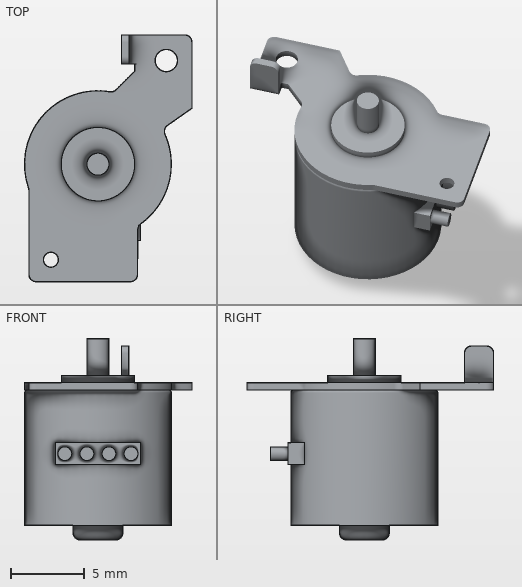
import cadquery as cq
import math

BODY_RADIUS = 5.0
BODY_HEIGHT = 9.2
BODY_TOP_FILLET = 0.2

CAP_RADIUS = 1.7
CAP_LENGTH = 1.0
CAP_FILLET = 0.5

BOSS_RADIUS = 2.5
BOSS_HEIGHT = 0.5
SHAFT_RADIUS = 0.75
SHAFT_LENGTH = 2.5

PLATE_THICKNESS = 0.5
CORNER_RADIUS = 0.5
FOOT_LEFT = -4.7
FOOT_RIGHT = 2.7
FOOT_END = -8.0
FOOT_HOLE_RADIUS = 0.5
FOOT_HOLE_INSET = 1.5
EAR_LEFT = 2.5
EAR_RIGHT = 6.4
EAR_END = 8.8
EAR_LEFT_BOTTOM = 6.33
EAR_RIGHT_BOTTOM = 3.8
EAR_LEFT_SLOPE = math.radians(45)
EAR_RIGHT_SLOPE = math.radians(35)
EAR_HOLE_RADIUS = 0.75
EAR_HOLE_INSET = 1.75

TAB_OUTER_X = 1.6
TAB_WIDTH = 2.0
TAB_HEIGHT = 3.0
BEND_INNER_RADIUS = 0.5
BEND_OUTER_RADIUS = 0.5

CONNECTOR_LENGTH = 5.8
CONNECTOR_HEIGHT = 1.5
CONNECTOR_FACE_Y = -5.2
CONNECTOR_CENTRE_Z = 4.87
CONNECTOR_BACK_Y = -3.0
PIN_COUNT = 4
PIN_PITCH = 1.5
PIN_RADIUS = 0.47
PIN_LENGTH = 1.2

PLATE_TOP = BODY_HEIGHT + PLATE_THICKNESS
BOSS_TOP = PLATE_TOP + BOSS_HEIGHT


def cylinder(radius, height, base_z):
    return cq.Workplane("XY").workplane(offset=base_z).circle(radius).extrude(height)


def plate_prism(points):
    base = cq.Workplane("XY").workplane(offset=BODY_HEIGHT)
    return base.polyline(points).close().extrude(PLATE_THICKNESS)


def vertical_edge_at(x, y):
    """Selector for the vertical plate edge through (x, y)."""
    margin = 0.05
    low = (x - margin, y - margin, BODY_HEIGHT - margin)
    high = (x + margin, y + margin, PLATE_TOP + margin)
    return cq.selectors.BoxSelector(low, high)


def slope_meets_rim(x, y, angle):
    """Point where a line running down-left from (x, y) first meets the round plate rim."""
    dx = math.cos(angle)
    dy = math.sin(angle)
    along = x * dx + y * dy
    distance = along - math.sqrt(along**2 - (x**2 + y**2 - BODY_RADIUS**2))
    return x - distance * dx, y - distance * dy


def make_motor():
    """Parts of the motor below the plate, then those above it."""
    body = cylinder(BODY_RADIUS, BODY_HEIGHT, 0).faces(">Z").edges().fillet(BODY_TOP_FILLET)
    cap = cylinder(CAP_RADIUS, CAP_LENGTH, -CAP_LENGTH).faces("<Z").edges().fillet(CAP_FILLET)
    boss = cylinder(BOSS_RADIUS, BOSS_HEIGHT, PLATE_TOP)
    shaft = cylinder(SHAFT_RADIUS, SHAFT_LENGTH, BOSS_TOP)
    rear_end = body.union(cap)
    front_end = boss.union(shaft)
    return rear_end, front_end


def make_plate():
    foot = plate_prism([
        (FOOT_LEFT, 0),
        (FOOT_LEFT, FOOT_END),
        (FOOT_RIGHT, FOOT_END),
        (FOOT_RIGHT, 0),
    ])
    ear_left_root = slope_meets_rim(EAR_LEFT, EAR_LEFT_BOTTOM, EAR_LEFT_SLOPE)
    ear_right_root = slope_meets_rim(EAR_RIGHT, EAR_RIGHT_BOTTOM, EAR_RIGHT_SLOPE)
    ear = plate_prism([
        (0, 0),
        ear_left_root,
        (EAR_LEFT, EAR_LEFT_BOTTOM),
        (EAR_LEFT, EAR_END),
        (EAR_RIGHT, EAR_END),
        (EAR_RIGHT, EAR_RIGHT_BOTTOM),
        ear_right_root,
    ])
    plate = cylinder(BODY_RADIUS, PLATE_THICKNESS, BODY_HEIGHT).union(foot).union(ear)

    foot_left_root = (FOOT_LEFT, -math.sqrt(BODY_RADIUS**2 - FOOT_LEFT**2))
    foot_right_root = (FOOT_RIGHT, -math.sqrt(BODY_RADIUS**2 - FOOT_RIGHT**2))
    rounded_corners = [
        (FOOT_LEFT, FOOT_END),
        (FOOT_RIGHT, FOOT_END),
        (EAR_RIGHT, EAR_END),
        foot_left_root,
        foot_right_root,
        ear_left_root,
        ear_right_root,
    ]
    for x, y in rounded_corners:
        plate = plate.edges(vertical_edge_at(x, y)).fillet(CORNER_RADIUS)
    return plate


def make_tab():
    """L-shaped bent strip, profiled in XZ and extruded toward -Y from the ear end."""
    inner_x = TAB_OUTER_X + PLATE_THICKNESS
    bend_end_x = inner_x + BEND_INNER_RADIUS
    tab_top = BODY_HEIGHT + TAB_HEIGHT
    diagonal = math.sqrt(0.5)
    inner_mid = (
        bend_end_x - BEND_INNER_RADIUS * diagonal,
        PLATE_TOP + BEND_INNER_RADIUS * (1 - diagonal),
    )
    outer_mid = (
        TAB_OUTER_X + BEND_OUTER_RADIUS * (1 - diagonal),
        BODY_HEIGHT + BEND_OUTER_RADIUS * (1 - diagonal),
    )
    tab = (
        cq.Workplane("XZ", origin=(0, EAR_END, 0))
        .moveTo(bend_end_x, BODY_HEIGHT)
        .lineTo(bend_end_x, PLATE_TOP)
        .threePointArc(inner_mid, (inner_x, PLATE_TOP + BEND_INNER_RADIUS))
        .lineTo(inner_x, tab_top)
        .lineTo(TAB_OUTER_X, tab_top)
        .lineTo(TAB_OUTER_X, BODY_HEIGHT + BEND_OUTER_RADIUS)
        .threePointArc(outer_mid, (TAB_OUTER_X + BEND_OUTER_RADIUS, BODY_HEIGHT))
        .close()
        .extrude(TAB_WIDTH)
    )
    return tab.faces(">Z").edges("|X").fillet(CORNER_RADIUS)


def drill_plate_holes(part):
    holes = [
        (FOOT_LEFT + FOOT_HOLE_INSET, FOOT_END + FOOT_HOLE_INSET, FOOT_HOLE_RADIUS),
        (EAR_RIGHT - EAR_HOLE_INSET, EAR_END - EAR_HOLE_INSET, EAR_HOLE_RADIUS),
    ]
    for x, y, radius in holes:
        part = part.cut(cylinder(radius, PLATE_THICKNESS, BODY_HEIGHT).translate((x, y, 0)))
    return part


def make_connector():
    """Block sunk into the body wall, with a row of round pins on its outer face."""
    connector = (
        cq.Workplane("XZ", origin=(0, CONNECTOR_BACK_Y, CONNECTOR_CENTRE_Z))
        .rect(CONNECTOR_LENGTH, CONNECTOR_HEIGHT)
        .extrude(CONNECTOR_BACK_Y - CONNECTOR_FACE_Y)
    )
    for index in range(PIN_COUNT):
        pin_x = (index - (PIN_COUNT - 1) / 2) * PIN_PITCH
        pin = (
            cq.Workplane("XZ", origin=(pin_x, CONNECTOR_FACE_Y, CONNECTOR_CENTRE_Z))
            .circle(PIN_RADIUS)
            .extrude(PIN_LENGTH)
        )
        connector = connector.union(pin)
    return connector


rear_end, front_end = make_motor()
bracket = drill_plate_holes(make_plate().union(make_tab()))
result = rear_end.union(bracket).union(front_end).union(make_connector())